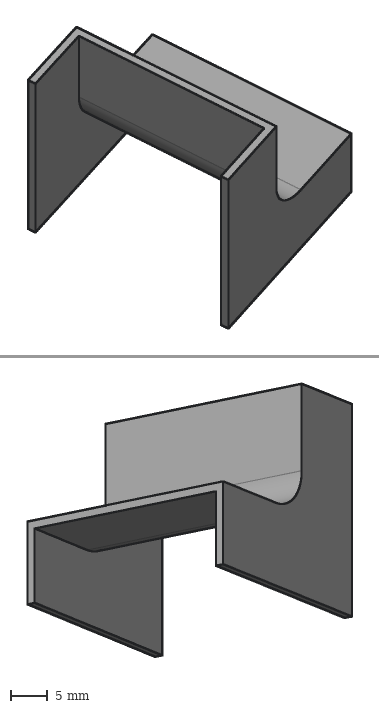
import cadquery as cq

front_width = 32.6
back_width = 32.4
depth = 30.0
height = 30.0

thickness = 1.2

leg = 11.7

concave_radius = 6.0
convex_radius = concave_radius + thickness


def l_prism(leg_width, corner_radius):
    """L-shaped prism along X: an upright leg at the front, a low leg to the back."""
    return (
        cq.Workplane("YZ")
        .polyline([
            (0, 0),
            (depth, 0),
            (depth, leg_width),
            (leg_width + corner_radius, leg_width),
        ])
        .radiusArc((leg_width, leg_width + corner_radius), corner_radius)
        .lineTo(leg_width, height)
        .lineTo(0, height)
        .close()
        .extrude(front_width / 2, both=True)
    )


def toed_in_block(inset):
    """Full-height block between the plates' outer faces, moved inwards by the inset."""
    front_half = front_width / 2 - inset
    back_half = back_width / 2 - inset
    return (
        cq.Workplane("XY")
        .polyline([
            (-front_half, 0),
            (front_half, 0),
            (back_half, depth),
            (-back_half, depth),
        ])
        .close()
        .extrude(height)
    )


def outer_body():
    """Solid L-shaped body bounded by the outer faces of the plates and the web."""
    return l_prism(leg, concave_radius).intersect(toed_in_block(0))


def channel_space():
    """Space between the side plates, under and in front of the bent web."""
    return l_prism(leg - thickness, convex_radius).intersect(toed_in_block(thickness))


result = outer_body().cut(channel_space())